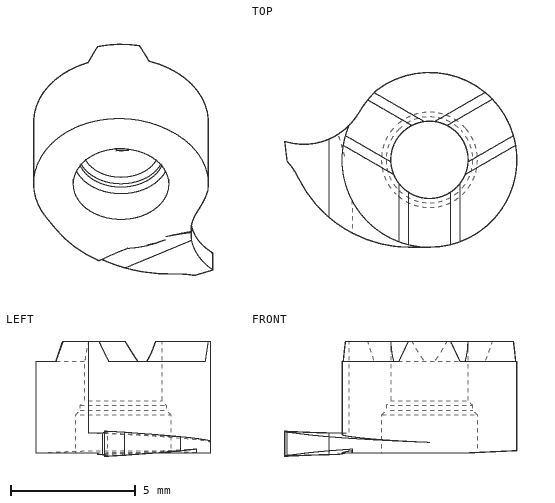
import cadquery as cq
import math

overall_length = 9.3
hub_diameter = 7.0
hub_radius = hub_diameter / 2
bore_radius = 1.54
total_height = 4.47
drive_height = 0.8
bar_top_width = 1.68
bar_base_width = 2.45
bar_angles = (30, 150, 270)
underside_rise = 0.09
underside_rise_start = 1.525

tip_back = (hub_radius - overall_length, 0.74)
tip_front = (-5.7, -0.06)
nose_middle = (-5.48, -0.335)
nose_end = (-5.24, -0.75)
flank_middle = (-3.3, -2.82)
flank_end = (-0.73, -hub_radius)

scoop_start_angle = 127.0
scoop_ease_middle = (-2.49, 2.37)
scoop_ease_end = (-2.83, 1.89)
scoop_middle = (-4.51, 0.68)
scoop_outer_y = 4.185

countersink_top = 2.09
countersink_step = 0.19
countersink_land = 0.195

flange_mid_height = 0.37
flange_half_height = 0.23
slope_x = -0.041
slope_y = 0.05
relief_back = (-3.76, 1.3)
relief_middle = (-3.22, -0.7)
relief_front = (-3.09, -3.07)

tip_joint_x = -4.03
oversize = 18.6

bar_floor = total_height - drive_height


def block_beyond(height, direction):
    """Large block above (+1) or below (-1) the sloped flange face."""
    normal = (-direction * slope_x, -direction * slope_y, 1)
    plane = cq.Plane(origin=(0, 0, height), xDir=(1, 0, direction * slope_x), normal=normal)
    return cq.Workplane(plane).rect(oversize, oversize).extrude(direction * oversize)


def flange():
    depth = total_height / 2
    blank = (
        cq.Workplane("XY", origin=(0, 0, -depth))
        .moveTo(*tip_back)
        .lineTo(*tip_front)
        .threePointArc(nose_middle, nose_end)
        .threePointArc(flank_middle, flank_end)
        .lineTo(0, -hub_radius)
        .lineTo(0, 0)
        .lineTo(*scoop_ease_end)
        .threePointArc(scoop_middle, tip_back)
        .close()
        .extrude(2 * depth)
        .cut(block_beyond(flange_mid_height + flange_half_height, 1))
    )
    inner_zone = (
        cq.Workplane("XY", origin=(0, 0, -oversize))
        .moveTo(*relief_back)
        .threePointArc(relief_middle, relief_front)
        .lineTo(relief_front[0], -oversize)
        .lineTo(oversize, -oversize)
        .lineTo(oversize, oversize)
        .lineTo(relief_back[0], oversize)
        .close()
        .extrude(2 * oversize)
    )
    below_underside = cq.Workplane("XY").rect(oversize, oversize).extrude(-oversize)
    inner = blank.intersect(inner_zone).cut(below_underside)
    outer = blank.cut(inner_zone).cut(block_beyond(flange_mid_height - flange_half_height, -1))
    return inner.union(outer)


def drive_bar(angle):
    """Radial bar with sloping sides, reaching from the axis past the rim."""
    return (
        cq.Workplane("YZ")
        .moveTo(-bar_base_width / 2, bar_floor)
        .lineTo(bar_base_width / 2, bar_floor)
        .lineTo(bar_top_width / 2, total_height)
        .lineTo(-bar_top_width / 2, total_height)
        .close()
        .extrude(2 * hub_radius)
        .rotate((0, 0, 0), (0, 0, 1), angle)
    )


def hub():
    solid = cq.Workplane("XY").circle(hub_radius).extrude(bar_floor)
    envelope = cq.Workplane("XY").circle(hub_radius).extrude(total_height)
    for angle in bar_angles:
        solid = solid.union(drive_bar(angle).intersect(envelope))
    underside = (
        cq.Workplane("XZ", origin=(0, hub_radius, 0))
        .moveTo(underside_rise_start, 0)
        .lineTo(hub_radius, 0)
        .lineTo(hub_radius, underside_rise)
        .close()
        .extrude(2 * hub_radius)
    )
    return solid.cut(underside)


def scoop():
    angle = math.radians(scoop_start_angle)
    return (
        cq.Workplane("XY")
        .moveTo(hub_radius * math.cos(angle), hub_radius * math.sin(angle))
        .threePointArc(scoop_ease_middle, scoop_ease_end)
        .threePointArc(scoop_middle, tip_back)
        .lineTo(tip_back[0], scoop_outer_y)
        .close()
        .extrude(total_height)
    )


def stepped_bore():
    upper_cone_bottom = countersink_top - countersink_step
    lower_cone_top = upper_cone_bottom - countersink_land
    lower_cone_bottom = lower_cone_top - countersink_step
    land_radius = bore_radius + countersink_step
    mouth_radius = land_radius + countersink_step
    return (
        cq.Workplane("XZ")
        .moveTo(0, 0)
        .lineTo(mouth_radius, 0)
        .lineTo(mouth_radius, lower_cone_bottom)
        .lineTo(land_radius, lower_cone_top)
        .lineTo(land_radius, upper_cone_bottom)
        .lineTo(bore_radius, countersink_top)
        .lineTo(bore_radius, total_height)
        .lineTo(0, total_height)
        .close()
        .revolve(360, (0, 0, 0), (0, 1, 0))
    )


def whole_cutter():
    return hub().union(flange()).cut(scoop()).cut(stepped_bore())


tip_side_center = (tip_joint_x - oversize / 2, 0, 0)
tip_side = cq.Workplane("XY").box(oversize, oversize, oversize).translate(tip_side_center)
cutter = whole_cutter()
cutter_body = cutter.cut(tip_side)
cutting_tip = cutter.intersect(tip_side)

result = cq.Compound.makeCompound([cutter_body.val(), cutting_tip.val()])